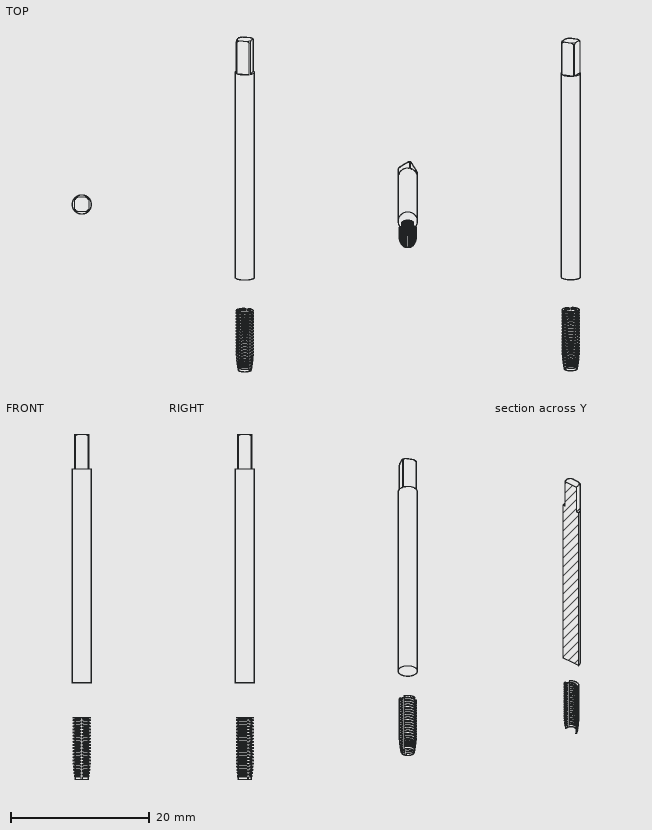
import cadquery as cq

total_length = 50.0
square_height = 5.0
shank_length = 31.0
square_base = total_length - square_height
shank_base = square_base - shank_length

shank_diameter = 2.8
square_width = 2.1
square_top_diameter = 2.4
square_top_chamfer = 0.2

thread_length = 9.0
thread_radius = 1.25
root_radius = 0.95
bore_diameter = 1.75
thread_pitch = 0.45
crest_width = 0.1
root_width = 0.175
flank_width = (thread_pitch - crest_width - root_width) / 2
tooth_base_width = crest_width + 2 * flank_width
tooth_count = 19
lowest_tooth_base = 0.375
top_rim_width = 0.05

lead_length = 2.25
tip_diameter = 2.05

flute_count = 3
flute_radius = 0.375
flute_center_radius = 1.3
first_flute_angle = -90.0


def cylinder(radius, base, length):
    return cq.Workplane("XY").workplane(offset=base).circle(radius).extrude(length)


def revolve_about_z(points):
    """Solid of revolution from a closed outline of (radius, z) points."""
    return cq.Workplane("XZ").polyline(points).close().revolve(360, (0, 0, 0), (0, 1, 0))


def make_shank():
    """Round shank carrying a driving square with turned-down, bevelled corners."""
    shank = cylinder(shank_diameter / 2, shank_base, shank_length)
    square = (
        cq.Workplane("XY")
        .workplane(offset=square_base)
        .rect(square_width, square_width)
        .extrude(square_height)
    )
    turned_bar = (
        cylinder(shank_diameter / 2, square_base, square_height)
        .faces(">Z")
        .chamfer(square_top_chamfer, (shank_diameter - square_top_diameter) / 2)
    )
    return shank.union(square.intersect(turned_bar))


def make_ring_blank():
    """Turned bar with evenly spaced ring teeth and a half tooth forming the top rim."""
    points = [(0, 0), (root_radius, 0)]
    for index in range(tooth_count):
        base = lowest_tooth_base + index * thread_pitch
        points += [
            (root_radius, base),
            (thread_radius, base + flank_width),
            (thread_radius, base + flank_width + crest_width),
            (root_radius, base + tooth_base_width),
        ]
    points += [
        (root_radius, thread_length - top_rim_width - flank_width),
        (thread_radius, thread_length - top_rim_width),
        (thread_radius, thread_length),
        (0, thread_length),
    ]
    return revolve_about_z(points)


def make_lead_envelope():
    """Plain bar that tapers to the tip and trims the lowest teeth."""
    return revolve_about_z([
        (0, 0),
        (tip_diameter / 2, 0),
        (thread_radius, lead_length),
        (thread_radius, thread_length),
        (0, thread_length),
    ])


def make_flutes():
    """Full-length round-bottomed grooves, equally spaced around the axis."""
    return (
        cq.Workplane("XY")
        .polarArray(flute_center_radius, first_flute_angle, 360, flute_count)
        .circle(flute_radius)
        .extrude(thread_length)
    )


def make_threaded_tube():
    toothed_bar = make_ring_blank().intersect(make_lead_envelope())
    return toothed_bar.cut(make_flutes()).cut(cylinder(bore_diameter / 2, 0, thread_length))


shank = make_shank()
threaded_tube = make_threaded_tube()

result = cq.Compound.makeCompound([shank.val(), threaded_tube.val()])